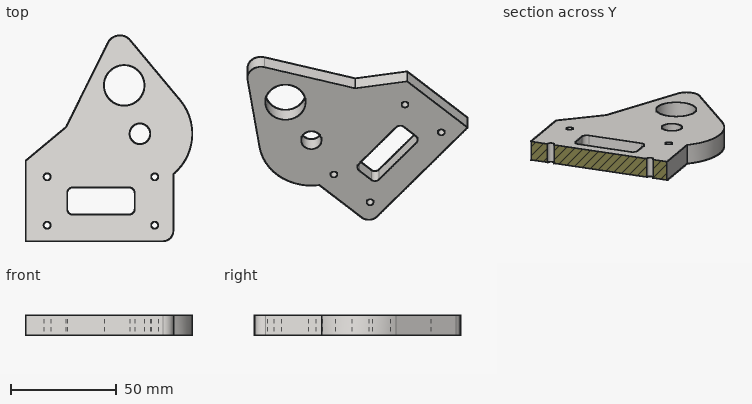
import cadquery as cq
import math

INCH = 25.4

thickness = 0.375 * INCH
base_width = 2.75 * INCH
left_edge_height = 1.5 * INCH
right_edge_height = 1.25 * INCH
base_corner_radius = 0.2 * INCH
shoulder = (0.75 * INCH, 2.125 * INCH)

tip_center = (44.5, 90.97)
tip_radius = 0.25 * INCH

lobe_center = (2.125 * INCH, 2.0 * INCH)
lobe_radius = math.hypot(base_width - lobe_center[0], right_edge_height - lobe_center[1])

lobe_hole_diameter = 0.38 * INCH
large_hole_center = (46.55, 2.9 * INCH)
large_hole_diameter = 0.75 * INCH
mount_hole_diameter = 3.2

mount_spacing_x = 2.0 * INCH
mount_spacing_y = 0.9 * INCH
mount_center = (1.4 * INCH, 0.75 * INCH)
window_width = 1.25 * INCH
window_height = 0.5 * INCH
window_corner_radius = 0.1 * INCH


def point_on_circle(center, radius, angle):
    """Point on a circle at an angle measured from +X."""
    x = center[0] + radius * math.cos(angle)
    y = center[1] + radius * math.sin(angle)
    return (x, y)


def direction(start, end):
    """Distance and heading from one point to another."""
    dx = end[0] - start[0]
    dy = end[1] - start[1]
    return math.hypot(dx, dy), math.atan2(dy, dx)


def make_plate():
    """Solid plate whose tip is tangent to the shoulder line and to the lobe line."""
    shoulder_distance, shoulder_heading = direction(shoulder, tip_center)
    left_line_angle = shoulder_heading + math.asin(tip_radius / shoulder_distance)
    tip_start_angle = left_line_angle + math.pi / 2

    lobe_distance, lobe_heading = direction(tip_center, lobe_center)
    tangent_angle = lobe_heading + math.acos((tip_radius - lobe_radius) / lobe_distance)

    tip_start = point_on_circle(tip_center, tip_radius, tip_start_angle)
    tip_top = point_on_circle(tip_center, tip_radius, math.pi / 2)
    tip_end = point_on_circle(tip_center, tip_radius, tangent_angle)
    lobe_start = point_on_circle(lobe_center, lobe_radius, tangent_angle)
    lobe_side = point_on_circle(lobe_center, lobe_radius, 0)

    plate = (
        cq.Workplane("XY")
        .moveTo(0, 0)
        .lineTo(0, left_edge_height)
        .lineTo(*shoulder)
        .lineTo(*tip_start)
        .threePointArc(tip_top, tip_end)
        .lineTo(*lobe_start)
        .threePointArc(lobe_side, (base_width, right_edge_height))
        .lineTo(base_width, base_corner_radius)
        .radiusArc((base_width - base_corner_radius, 0), base_corner_radius)
        .close()
        .extrude(thickness)
    )
    return plate


def make_hole(center, diameter):
    """Cylinder that cuts one round hole through the plate."""
    return cq.Workplane("XY").center(*center).circle(diameter / 2).extrude(thickness)


def make_window():
    """Rounded block that cuts the rectangular window through the plate."""
    block = cq.Workplane("XY").center(*mount_center).rect(window_width, window_height).extrude(thickness)
    return block.edges("|Z").fillet(window_corner_radius)


result = make_plate()
result = result.cut(make_hole(lobe_center, lobe_hole_diameter))
result = result.cut(make_hole(large_hole_center, large_hole_diameter))
for side_x in (-1, 1):
    for side_y in (-1, 1):
        mount_x = mount_center[0] + side_x * mount_spacing_x / 2
        mount_y = mount_center[1] + side_y * mount_spacing_y / 2
        result = result.cut(make_hole((mount_x, mount_y), mount_hole_diameter))
result = result.cut(make_window())